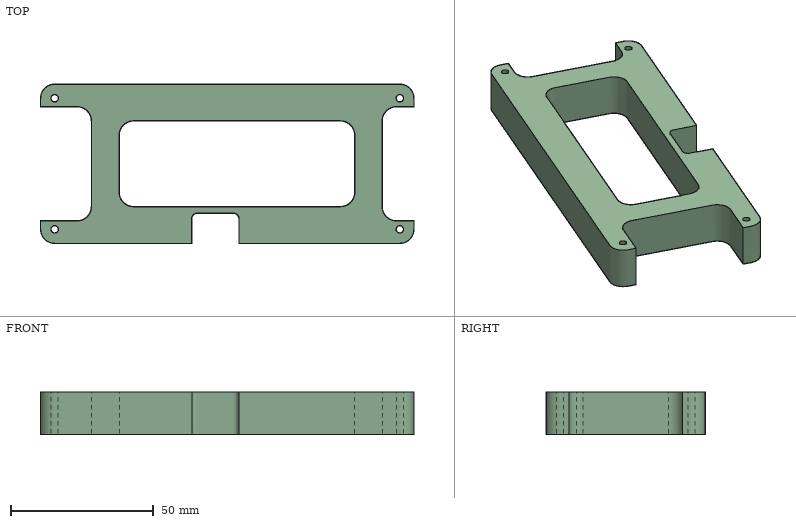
import cadquery as cq

length = 131.0
width = 56.0
thickness = 15.0
corner_radius = 5.0

hole_diameter = 2.5

arm_width = 8.0
left_recess_depth = 17.8
right_recess_depth = 11.1
recess_width = width - 2 * arm_width

window_left = 27.6
window_length = 82.5
window_width = 30.0

notch_left = 53.0
notch_length = 16.5
notch_depth = 10.6
notch_radius = 2.0


def block(left, front, size_x, size_y):
    """Full-thickness block placed by its left front corner."""
    return cq.Workplane("XY").box(size_x, size_y, thickness, centered=False).translate((left, front, 0))


plate = block(0, 0, length, width).edges("|Z").fillet(corner_radius)

left_recess = block(0, arm_width, left_recess_depth, recess_width)
left_recess = left_recess.edges("|Z and >X").fillet(corner_radius)

right_recess = block(length - right_recess_depth, arm_width, right_recess_depth, recess_width)
right_recess = right_recess.edges("|Z and <X").fillet(corner_radius)

window = block(window_left, (width - window_width) / 2, window_length, window_width)
window = window.edges("|Z").fillet(corner_radius)

notch = block(notch_left, 0, notch_length, notch_depth)
notch = notch.edges("|Z and >Y").fillet(notch_radius)

hole_centers = [
    (x, y)
    for x in (corner_radius, length - corner_radius)
    for y in (corner_radius, width - corner_radius)
]
holes = cq.Workplane("XY").pushPoints(hole_centers).circle(hole_diameter / 2).extrude(thickness)

result = plate
for cutter in (left_recess, right_recess, window, notch, holes):
    result = result.cut(cutter)